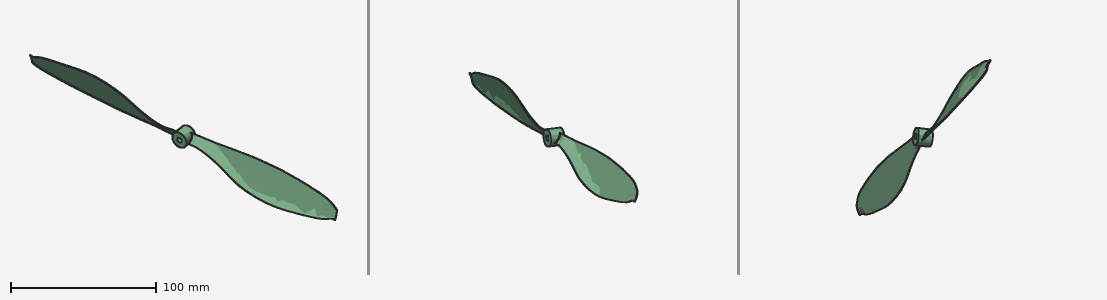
import cadquery as cq
import math

span = 260.0
tip_radius = span / 2

hub_diameter = 12.2
hub_length = 10.5
bore_diameter = 4.0

blade_thickness = 0.65
camber_ratio = 0.06

blade_stations = [
    (3.6, (2.3, 4.0), (-2.0, -2.5)),
    (13.0, (2.3, 4.0), (-2.3, -2.9)),
    (25.0, (2.9, 3.6), (-3.5, -5.5)),
    (39.0, (3.5, 4.0), (-4.2, -12.0)),
    (53.3, (4.0, 4.2), (-4.7, -18.7)),
    (72.8, (4.5, 3.5), (-4.5, -22.5)),
    (91.0, (4.2, 1.8), (-4.2, -22.0)),
    (109.2, (3.5, -0.8), (-3.5, -19.8)),
    (123.5, (2.0, -4.2), (-2.3, -16.5)),
    (tip_radius, (0.8, -7.8), (-1.5, -15.0)),
]


def blade_section(leading, trailing):
    """Return the four corners and two arc midpoints of a thin cambered section."""
    chord_y = leading[0] - trailing[0]
    chord_z = leading[1] - trailing[1]
    chord = math.hypot(chord_y, chord_z)
    normal = (chord_z / chord, -chord_y / chord)

    def offset(point, distance):
        return (point[0] + distance * normal[0], point[1] + distance * normal[1])

    middle = ((leading[0] + trailing[0]) / 2, (leading[1] + trailing[1]) / 2)
    half = blade_thickness / 2
    bow = camber_ratio * chord
    return {
        "front": [offset(leading, -half), offset(middle, bow - half), offset(trailing, -half)],
        "back": [offset(trailing, half), offset(middle, bow + half), offset(leading, half)],
    }


def make_blade():
    """Loft the +X blade smoothly through its stations."""
    sections = cq.Workplane("YZ")
    previous = 0.0
    for radius, leading, trailing in blade_stations:
        section = blade_section(leading, trailing)
        front_start, front_middle, front_end = section["front"]
        back_start, back_middle, back_end = section["back"]
        sections = (
            sections.workplane(offset=radius - previous)
            .moveTo(*front_start)
            .threePointArc(front_middle, front_end)
            .lineTo(*back_start)
            .threePointArc(back_middle, back_end)
            .close()
        )
        previous = radius
    return sections.loft(combine=True)


def hub_cylinder(diameter):
    """Return a cylinder on the Y axis, as long as the hub."""
    return cq.Workplane("XZ").circle(diameter / 2).extrude(hub_length / 2, both=True)


blade = make_blade()
opposite_blade = blade.rotate((0, 0, 0), (0, 1, 0), 180)

result = hub_cylinder(hub_diameter).union(blade).union(opposite_blade).cut(hub_cylinder(bore_diameter))